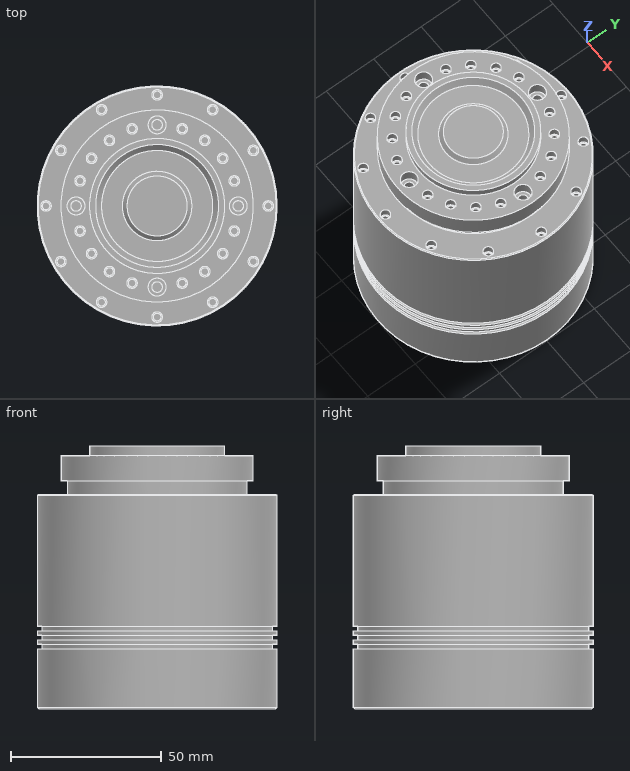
import cadquery as cq
import math

housing_dia = 80.0
housing_height = 71.5
bottom_chamfer = 0.6
top_chamfer = 0.35
groove_dia = 77.0
groove_width = 1.5
groove_pitch = 3.0
groove_count = 3
lowest_groove_z = 20.1

overall_height = 87.7
neck_dia = 60.0
disc_dia = 64.0
ring_dia = 45.0
disc_bottom_z = 76.0
disc_top_z = 84.45

recess_rim_dia = 40.95
recess_floor_dia = 37.0
recess_depth = (recess_rim_dia - recess_floor_dia) / 2
boss_base_dia = 23.15
boss_top_dia = 20.0
boss_height = (boss_base_dia - boss_top_dia) / 2

screw_hole_dia = 3.5
screw_core_dia = 2.5
screw_hole_depth = 3.5
screw_core_depth = 7.0
housing_hole_circle_dia = 74.0
housing_hole_count = 12

flange_hole_circle_dia = 54.0
flange_hole_count = 20
bolt_every = 5
bolt_hole_dia = 3.5
bolt_head_dia = 6.0
bolt_head_depth = 5.0


def cylinder(diameter, bottom_z, top_z):
    """Solid cylinder on the Z axis."""
    return cq.Workplane("XY").workplane(offset=bottom_z).circle(diameter / 2).extrude(top_z - bottom_z)


def cone(bottom_dia, top_dia, bottom_z, top_z):
    """Solid cone frustum on the Z axis."""
    outline = [
        (0, bottom_z),
        (bottom_dia / 2, bottom_z),
        (top_dia / 2, top_z),
        (0, top_z),
    ]
    return cq.Workplane("XZ").polyline(outline).close().revolve(360, (0, 0, 0), (0, 1, 0))


def circle_points(circle_dia, count):
    """Equally spaced points on a circle, the first on +X."""
    radius = circle_dia / 2
    angles = [2 * math.pi * i / count for i in range(count)]
    return [(radius * math.cos(a), radius * math.sin(a)) for a in angles]


def drill_stepped(body, face_z, points, wide_dia, wide_depth, narrow_dia, total_depth):
    """Cut a wide hole with a narrower one below it at each point of a flat upper face."""
    face = cq.Workplane("XY").workplane(offset=face_z).pushPoints(points)
    wide = face.circle(wide_dia / 2).extrude(-wide_depth)
    narrow = face.circle(narrow_dia / 2).extrude(-total_depth)
    return body.cut(wide).cut(narrow)


def drill_screw_holes(body, face_z, points):
    return drill_stepped(
        body, face_z, points, screw_hole_dia, screw_hole_depth, screw_core_dia, screw_core_depth
    )


def make_housing():
    body = cylinder(housing_dia, 0, housing_height)
    body = body.faces("<Z").chamfer(bottom_chamfer)
    body = body.faces(">Z").chamfer(top_chamfer)

    for i in range(groove_count):
        bottom_z = lowest_groove_z + i * groove_pitch
        top_z = bottom_z + groove_width
        groove = cylinder(housing_dia, bottom_z, top_z).cut(cylinder(groove_dia, bottom_z, top_z))
        body = body.cut(groove)

    points = circle_points(housing_hole_circle_dia, housing_hole_count)
    return drill_screw_holes(body, housing_height, points)


def make_output_flange():
    body = cylinder(neck_dia, housing_height, disc_bottom_z)
    body = body.union(cylinder(disc_dia, disc_bottom_z, disc_top_z))
    body = body.union(cylinder(ring_dia, disc_top_z, overall_height))

    recess_floor_z = overall_height - recess_depth
    body = body.cut(cone(recess_floor_dia, recess_rim_dia, recess_floor_z, overall_height))
    boss_top_z = recess_floor_z + boss_height
    body = body.union(cone(boss_base_dia, boss_top_dia, recess_floor_z, boss_top_z))

    points = circle_points(flange_hole_circle_dia, flange_hole_count)
    bolt_points = points[::bolt_every]
    screw_points = [p for p in points if p not in bolt_points]
    body = drill_screw_holes(body, disc_top_z, screw_points)
    return drill_stepped(
        body, disc_top_z, bolt_points,
        bolt_head_dia, bolt_head_depth, bolt_hole_dia, disc_top_z - housing_height,
    )


housing = make_housing()
output_flange = make_output_flange()

result = cq.Compound.makeCompound([housing.val(), output_flange.val()])